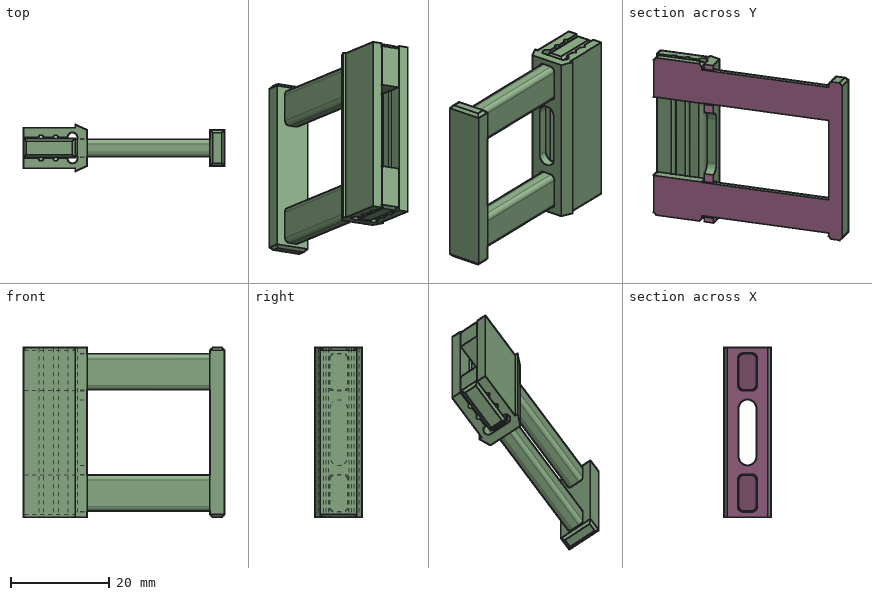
import cadquery as cq

total_length = 41.0
height = 34.6
half_height = height / 2

housing_length = 13.0
body_width = 8.3
barb_width = 9.6
nose_width = 7.4
barb_x = 10.55

cavity_width = 4.2
cavity_end_x = 11.0
relief_width = 1.95
relief_length = 6.25
relief_x = cavity_end_x - relief_width / 2
notch_radius = 0.5
notch_positions = [3.6, 6.6]

window_height = 13.35
window_width = 3.6
clearance = 0.12

strap_height = 7.4
strap_width = 3.6
strap_fillet = 1.0
strap_z = 12.35
block_length = 10.55
block_width = 3.95
block_inner_z = 8.55
crossbar_thickness = 3.05
crossbar_width = 7.4
crossbar_x = total_length - crossbar_thickness
end_chamfer = 0.6


def corner_box(x_start, x_end, width, z_start, z_end):
    """Box centred on Y between the given X and Z limits."""
    size = (x_end - x_start, width, z_end - z_start)
    return cq.Workplane("XY", origin=(x_start, 0, z_start)).box(*size, centered=(False, True, False))


def strap_bar(z_centre, x_start, x_end, grow=0.0):
    """Bar along X with rounded long edges, enlarged by grow on every long side."""
    half = strap_height / 2 + grow
    bar = corner_box(x_start, x_end, strap_width + 2 * grow, z_centre - half, z_centre + half)
    return bar.edges("|X").fillet(strap_fillet + grow)


def plan():
    """Plan workplane at the bottom of the part."""
    return cq.Workplane("XY", origin=(0, 0, -half_height))


def make_housing():
    """Barbed clip housing with a full-height cavity open at its rear."""
    right_side = [
        (0, -body_width / 2),
        (barb_x, -body_width / 2),
        (barb_x, -barb_width / 2),
        (housing_length, -nose_width / 2),
    ]
    left_side = [(x, -y) for x, y in reversed(right_side)]
    housing = plan().polyline(right_side + left_side).close().extrude(height)

    housing = housing.cut(corner_box(0, relief_x, cavity_width, -half_height, half_height))
    housing = housing.cut(plan().center(relief_x, 0).slot2D(relief_length, relief_width, 90).extrude(height))

    notch_centres = [(x, side * cavity_width / 2) for x in notch_positions for side in (-1, 1)]
    housing = housing.cut(plan().pushPoints(notch_centres).circle(notch_radius).extrude(height))

    for side in (-1, 1):
        housing = housing.cut(strap_bar(side * strap_z, relief_x, housing_length, clearance))
    window = (
        cq.Workplane("YZ", origin=(relief_x, 0, 0))
        .slot2D(window_height, window_width, 90)
        .extrude(housing_length - relief_x)
    )
    return housing.cut(window).solids()


def make_frame():
    """Crossbar with two straps, each carrying a chamfered block."""
    frame = corner_box(crossbar_x, total_length, crossbar_width, -half_height, half_height)
    frame = frame.faces("|Z").chamfer(end_chamfer)
    upper_block = corner_box(0, block_length, block_width, block_inner_z, half_height)
    upper_block = upper_block.faces(">Z").chamfer(end_chamfer)
    lower_block = upper_block.mirror("XY")
    for side, block in ((1, upper_block), (-1, lower_block)):
        frame = frame.union(block).union(strap_bar(side * strap_z, block_length, crossbar_x))
    return frame.solids()


housing = make_housing()
frame = make_frame()
result = cq.Compound.makeCompound([housing.val(), frame.val()])